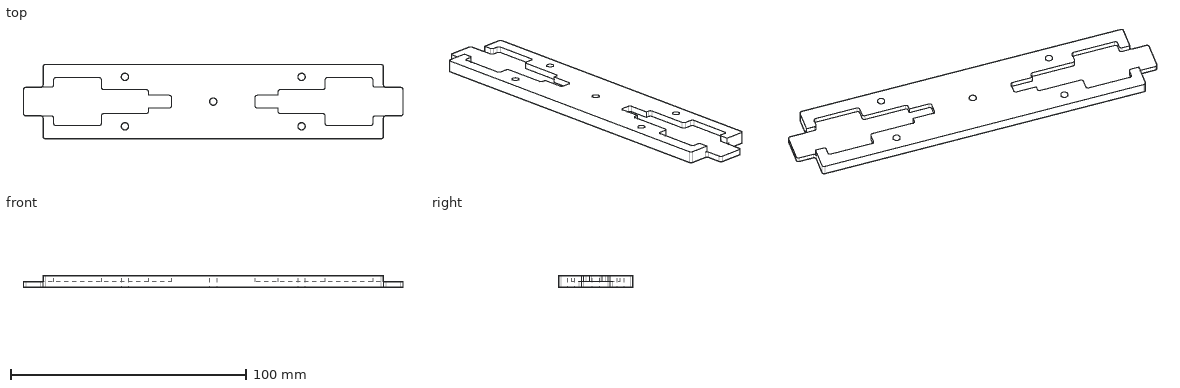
import cadquery as cq

overall_length = 161.2
body_length = 144.6
body_width = 31.6
thickness = 5.0
floor_height = 2.5

tab_width = 12.2
corner_radius = 1.0

chamber_outer_x = 67.8
chamber_inner_x = 47.5
chamber_width = 20.4
channel_inner_x = 27.5
channel_width = 10.2
nose_inner_x = 17.7
nose_width = 5.4

hole_diameter = 3.0
side_hole_x = 37.5
side_hole_y = 10.5

half_length = overall_length / 2
half_body = body_length / 2


def box_along_x(x_start, x_end, width, z_bottom, z_top):
    """Box centred on Y, reaching from x_start to x_end."""
    return (
        cq.Workplane("XY", origin=((x_start + x_end) / 2, 0, z_bottom))
        .rect(x_end - x_start, width)
        .extrude(z_top - z_bottom)
    )


def make_body():
    body = box_along_x(-half_body, half_body, body_width, 0, thickness)
    return body.edges("|Z").fillet(corner_radius)


def make_tab_strip():
    """Low full-length strip whose two ends are the tabs."""
    strip = box_along_x(-half_length, half_length, tab_width, 0, floor_height)
    return strip.edges("|Z").fillet(corner_radius)


def make_root_fillet():
    """Concave fillet between the body's +X end and the tab's +Y side."""
    root_y = tab_width / 2
    return (
        cq.Workplane("XY")
        .moveTo(half_body, root_y)
        .lineTo(half_body + corner_radius, root_y)
        .radiusArc((half_body, root_y + corner_radius), corner_radius)
        .close()
        .extrude(floor_height)
    )


def round_corner_pair(solid, x, width):
    """Fillet the two upright edges at x that lie width apart across Y."""
    reach = corner_radius / 2
    corners = cq.selectors.BoxSelector(
        (x - reach, -width / 2 - reach, 0),
        (x + reach, width / 2 + reach, thickness),
    )
    return solid.edges("|Z").edges(corners).fillet(corner_radius)


def make_pocket():
    """Stepped pocket at the +X end, open through the body's end face."""

    def step(x_start, x_end, width):
        return box_along_x(x_start, x_end, width, floor_height, thickness)

    chamber = step(chamber_inner_x, chamber_outer_x, chamber_width)
    chamber = chamber.edges("|Z").fillet(corner_radius)
    channel = step(channel_inner_x, chamber_outer_x, channel_width)
    channel = channel.edges("|Z and <X").fillet(corner_radius)
    nose = step(nose_inner_x, chamber_outer_x, nose_width)
    nose = nose.edges("|Z and <X").fillet(corner_radius)
    mouth = step(chamber_inner_x, half_length, tab_width)
    pocket = chamber.union(channel).union(nose).union(mouth)
    pocket = round_corner_pair(pocket, chamber_outer_x, tab_width)
    return round_corner_pair(pocket, chamber_inner_x, channel_width)


def make_holes():
    places = [(0, 0)]
    for x in (-side_hole_x, side_hole_x):
        for y in (-side_hole_y, side_hole_y):
            places.append((x, y))
    return cq.Workplane("XY").pushPoints(places).circle(hole_diameter / 2).extrude(thickness)


result = make_body().union(make_tab_strip())

root_fillet = make_root_fillet()
for fillet in (root_fillet, root_fillet.mirror("XZ")):
    result = result.union(fillet).union(fillet.mirror("YZ"))

pocket = make_pocket()
result = result.cut(pocket).cut(pocket.mirror("YZ")).cut(make_holes())